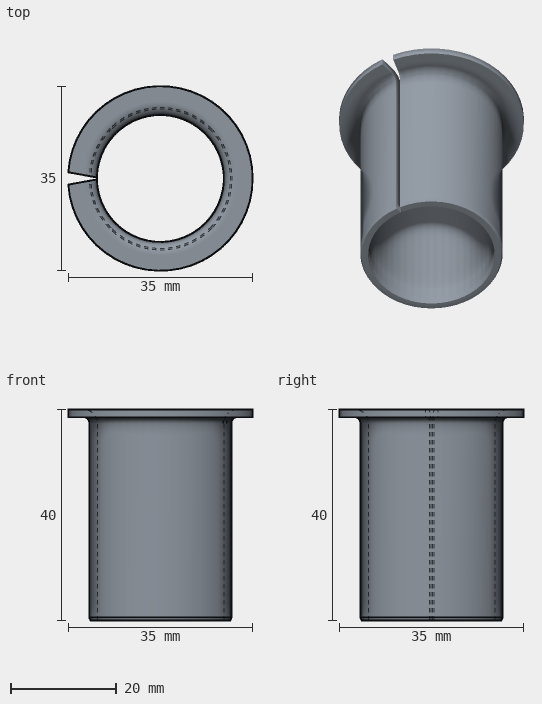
import cadquery as cq
import math

LENGTH = 40.0
BORE_RADIUS = 12.0
SLEEVE_DIAMETER = 27.0
FLANGE_DIAMETER = 35.0
BEND_INNER_RADIUS = 1.0
CHAMFER_HEIGHT = 0.6
CHAMFER_WIDTH = 0.3
SLIT_BORE_WIDTH = 0.3
SLIT_FLANGE_WIDTH = 2.3

sleeve_radius = SLEEVE_DIAMETER / 2
flange_radius = FLANGE_DIAMETER / 2
wall = sleeve_radius - BORE_RADIUS
bend_outer_radius = BEND_INNER_RADIUS + wall


def make_bushing():
    """Revolve the constant-thickness wall, bent outwards into the flange."""
    bend_center_x = sleeve_radius + BEND_INNER_RADIUS
    bend_center_z = LENGTH - bend_outer_radius
    diagonal = math.sqrt(0.5)

    def bend_middle(radius):
        return (bend_center_x - radius * diagonal, bend_center_z + radius * diagonal)

    profile = (
        cq.Workplane("XZ")
        .moveTo(BORE_RADIUS, 0)
        .lineTo(sleeve_radius - CHAMFER_WIDTH, 0)
        .lineTo(sleeve_radius, CHAMFER_HEIGHT)
        .lineTo(sleeve_radius, bend_center_z)
        .threePointArc(bend_middle(BEND_INNER_RADIUS), (bend_center_x, LENGTH - wall))
        .lineTo(flange_radius, LENGTH - wall)
        .lineTo(flange_radius, LENGTH)
        .lineTo(bend_center_x, LENGTH)
        .threePointArc(bend_middle(bend_outer_radius), (BORE_RADIUS, bend_center_z))
        .close()
    )
    bushing = profile.revolve(360, (0, 0), (0, 1))
    return bushing.rotate((0, 0, 0), (0, 0, 1), 180)


def make_slit():
    """Wedge on the -X side that widens outwards, carried past the wall both ways."""
    half_bore = SLIT_BORE_WIDTH / 2
    half_flange = SLIT_FLANGE_WIDTH / 2
    slope = (half_flange - half_bore) / (flange_radius - BORE_RADIUS)
    tip_radius = BORE_RADIUS - half_bore / slope
    outer_radius = flange_radius + wall
    outer_half = slope * (outer_radius - tip_radius)
    return (
        cq.Workplane("XY")
        .polyline([(-tip_radius, 0), (-outer_radius, outer_half), (-outer_radius, -outer_half)])
        .close()
        .extrude(LENGTH)
    )


result = make_bushing().cut(make_slit())